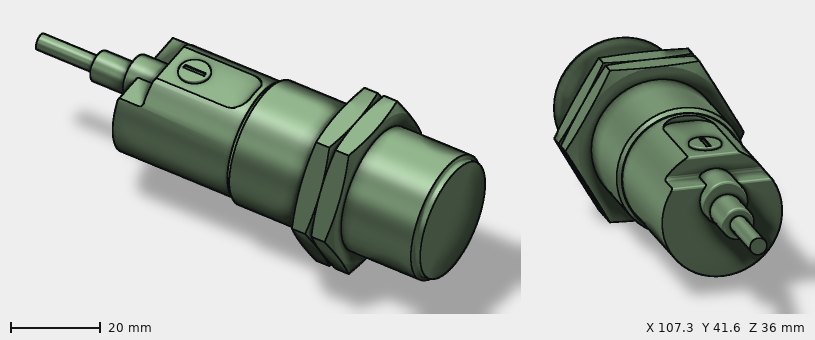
import cadquery as cq
import math

LENGTH = 107.3
CABLE_END = 14.9
SLEEVE_END = 24.4
HOUSING_START = 27.3
STEP_WALL = 33.5
NECK_END = 57.2
BARREL_END = 105.5
NUT_START = 77.3
SCREW_X = 40.1

NECK_DIA = 28.0
SHOULDER_DIA = 28.3
BARREL_DIA = 30.0
SHOULDER_LENGTH = 1.1
TIP_FILLET = 0.6
STEP_HEIGHT = 7.9
STEP_INNER_FILLET = 0.9
STEP_EDGE_FILLET = 0.6

FLAT_HEIGHT = 12.7
FLAT_WIDTH = 2 * math.sqrt((NECK_DIA / 2) ** 2 - FLAT_HEIGHT ** 2)
FLAT_END = 55.8
FLAT_CORNER_RADIUS = 4.1

SCREW_DIA = 7.4
SCREW_HEIGHT = 0.6
SCREW_FILLET = 0.3
SLOT_LENGTH = 5.4
SLOT_WIDTH = 1.0
SLOT_DEPTH = 0.3

CABLE_DIA = 4.0
SLEEVE_DIA = 7.5
COLLAR_DIA = 10.4
CABLE_Z = 2.7
COLLAR_Z = 4.2
ENTRY_FILLET = 0.6

NUT_COUNT = 2
NUT_THICKNESS = 5.0
NUT_FLATS = 36.0
NUT_CORNERS = NUT_FLATS / math.cos(math.pi / 6)
NUT_CHAMFER = 0.8


def rod(start, end, diameter, height=0.0):
    """Cylinder along X whose axis lies at the given height."""
    return (
        cq.Workplane("YZ", origin=(start, 0, height))
        .circle(diameter / 2)
        .extrude(end - start)
    )


def block(start, end, width, bottom, top):
    """Box centred on Y."""
    return (
        cq.Workplane("XY", origin=((start + end) / 2, 0, bottom))
        .rect(end - start, width)
        .extrude(top - bottom)
    )


def make_housing_blank():
    """Neck, chamfered shoulder, barrel and filleted end tip, turned about X."""
    neck_r = NECK_DIA / 2
    shoulder_r = SHOULDER_DIA / 2
    barrel_r = BARREL_DIA / 2
    fillet_mid = TIP_FILLET * (1 - math.sqrt(0.5))
    return (
        cq.Workplane("XY")
        .moveTo(HOUSING_START, 0)
        .lineTo(HOUSING_START, neck_r)
        .lineTo(NECK_END, neck_r)
        .lineTo(NECK_END, shoulder_r)
        .lineTo(NECK_END + SHOULDER_LENGTH, barrel_r)
        .lineTo(BARREL_END, barrel_r)
        .lineTo(BARREL_END, neck_r + TIP_FILLET)
        .threePointArc(
            (BARREL_END + fillet_mid, neck_r + fillet_mid),
            (BARREL_END + TIP_FILLET, neck_r),
        )
        .lineTo(LENGTH, neck_r)
        .lineTo(LENGTH, 0)
        .close()
        .revolve(360, (0, 0, 0), (1, 0, 0))
    )


def make_step_cutter():
    """Space above the stepped cable end, with the rounded edges built in."""
    top = BARREL_DIA
    edge = STEP_EDGE_FILLET
    inner = STEP_INNER_FILLET
    return (
        cq.Workplane("XZ")
        .moveTo(HOUSING_START, top)
        .lineTo(HOUSING_START, STEP_HEIGHT - edge)
        .radiusArc((HOUSING_START + edge, STEP_HEIGHT), edge)
        .lineTo(STEP_WALL - inner, STEP_HEIGHT)
        .radiusArc((STEP_WALL, STEP_HEIGHT + inner), -inner)
        .lineTo(STEP_WALL, FLAT_HEIGHT - edge)
        .radiusArc((STEP_WALL + edge, FLAT_HEIGHT), edge)
        .lineTo(STEP_WALL + edge, top)
        .close()
        .extrude(BARREL_DIA / 2, both=True)
    )


def make_flat_cutter():
    """Space above the neck flat, closed by a wall with rounded corners."""
    return (
        block(STEP_WALL, FLAT_END, FLAT_WIDTH, FLAT_HEIGHT, BARREL_DIA)
        .edges("|Z and >X")
        .fillet(FLAT_CORNER_RADIUS)
    )


def make_screw():
    top = FLAT_HEIGHT + SCREW_HEIGHT
    head = (
        cq.Workplane("XY", origin=(SCREW_X, 0, FLAT_HEIGHT))
        .circle(SCREW_DIA / 2)
        .extrude(SCREW_HEIGHT)
        .faces(">Z")
        .edges()
        .fillet(SCREW_FILLET)
    )
    slot_start = SCREW_X - SLOT_LENGTH / 2
    slot = block(slot_start, slot_start + SLOT_LENGTH, SLOT_WIDTH, top - SLOT_DEPTH, top)
    return head.cut(slot)


def make_cable_entry():
    """Cable, sleeve and collar; the cable and sleeve share one axis."""
    cable = rod(0, CABLE_END, CABLE_DIA, CABLE_Z)
    sleeve = rod(CABLE_END, SLEEVE_END, SLEEVE_DIA, CABLE_Z).faces("<X").edges().fillet(ENTRY_FILLET)
    collar = rod(SLEEVE_END, STEP_WALL, COLLAR_DIA, COLLAR_Z).faces("<X").edges().fillet(ENTRY_FILLET)
    return collar.union(sleeve).union(cable)


def make_sensor():
    blank = make_housing_blank().cut(make_step_cutter()).cut(make_flat_cutter())
    return blank.union(make_screw()).union(make_cable_entry())


def make_nut(start):
    """Hexagon nut with corners on +Y and -Y, chamfered on both faces."""
    hexagon = (
        cq.Workplane("YZ", origin=(start, 0, 0))
        .polygon(6, NUT_CORNERS)
        .extrude(NUT_THICKNESS)
    )
    end = start + NUT_THICKNESS
    chamfer_cone = (
        cq.Workplane("XY")
        .moveTo(start, 0)
        .lineTo(start, NUT_FLATS / 2)
        .lineTo(start + NUT_CHAMFER, NUT_CORNERS / 2)
        .lineTo(end - NUT_CHAMFER, NUT_CORNERS / 2)
        .lineTo(end, NUT_FLATS / 2)
        .lineTo(end, 0)
        .close()
        .revolve(360, (0, 0, 0), (1, 0, 0))
    )
    return hexagon.intersect(chamfer_cone).cut(rod(start, end, BARREL_DIA))


sensor = make_sensor()
nuts = [make_nut(NUT_START + index * NUT_THICKNESS) for index in range(NUT_COUNT)]
result = cq.Compound.makeCompound([sensor.val(), *[nut.val() for nut in nuts]])